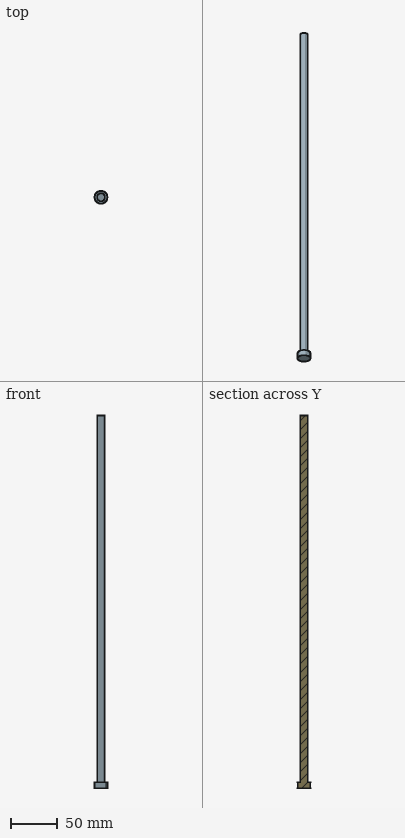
import cadquery as cq

overall_length = 400.0
head_diameter = 14.0
head_height = 6.5
shank_diameter = 8.5


def make_head():
    """Flat cylindrical head with its base on Z = 0."""
    return cq.Workplane("XY").circle(head_diameter / 2).extrude(head_height)


def make_shank():
    """Straight shank running from the top of the head to the tip of the pin."""
    shank_length = overall_length - head_height
    return (
        cq.Workplane("XY")
        .workplane(offset=head_height)
        .circle(shank_diameter / 2)
        .extrude(shank_length)
    )


result = make_head().union(make_shank())